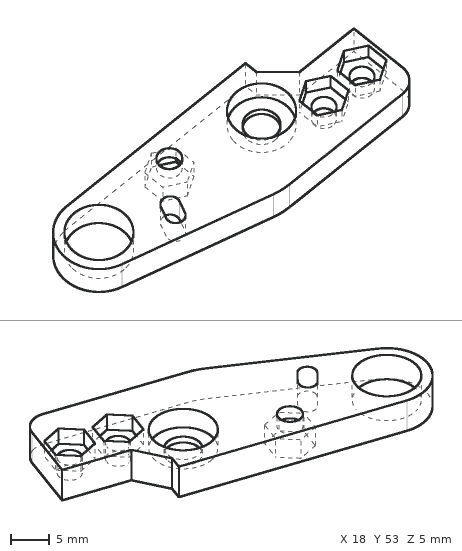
import cadquery as cq
import math

length = 53.0
width = 18.0
thickness = 5.0
end_radius = 6.0
corner_radius = 3.0
taper_angle = 15.0
taper_blend_radius = 10.0

left_x = -end_radius
right_x = left_x + width
top_y = length - end_radius

notch_width = 6.0
notch_depth = 14.0
notch_chamfer = 4.0

floor_thickness = 1.0
pocket_diameter = 9.0
stepped_pocket_center = (1.0, 29.0)
stepped_pocket_depth = 3.0
step_diameter = 5.0

nut_x = 5.0
nut_edge_distance = 3.5
nut_spacing = 7.0
nut_across_corners = 6.6
nut_depth = 2.5
screw_diameter = 3.3
side_hole_center = (-2.0, 15.0)
side_hole_diameter = 3.4
side_nut_depth = 3.0

slot_distance = 10.35
slot_direction = 66.0
slot_width = 2.6
slot_length = 4.5


def make_plate():
    """Rounded, tapered plate with a notched corner."""
    taper = math.radians(taper_angle)
    tangent = (end_radius * math.cos(taper), -end_radius * math.sin(taper))
    bend_y = (right_x * math.cos(taper) - end_radius) / math.sin(taper)
    notch_x = left_x + notch_width
    notch_y = top_y - notch_depth
    plate = (
        cq.Workplane("XY")
        .moveTo(left_x, 0)
        .threePointArc((0, -end_radius), tangent)
        .lineTo(right_x, bend_y)
        .lineTo(right_x, top_y)
        .lineTo(notch_x, top_y)
        .lineTo(notch_x, notch_y + notch_chamfer)
        .lineTo(notch_x - notch_chamfer, notch_y)
        .lineTo(left_x, notch_y)
        .close()
        .extrude(thickness)
    )
    bend_point = (right_x, bend_y, thickness / 2)
    corner_point = (right_x, top_y, thickness / 2)
    plate = plate.edges(cq.NearestToPointSelector(bend_point)).fillet(taper_blend_radius)
    return plate.edges(cq.NearestToPointSelector(corner_point)).fillet(corner_radius)


def round_cutter(center, diameter, bottom_z):
    """Cylinder from bottom_z up to the top face."""
    height = thickness - bottom_z
    return cq.Workplane("XY", origin=(*center, bottom_z)).circle(diameter / 2).extrude(height)


def nut_cutter(center, hole_diameter, recess_bottom_z, recess_depth):
    """Through screw hole with a hexagonal recess starting at recess_bottom_z."""
    hexagon = (
        cq.Workplane("XY", origin=(*center, recess_bottom_z))
        .polygon(6, nut_across_corners)
        .extrude(recess_depth)
    )
    return hexagon.union(round_cutter(center, hole_diameter, 0))


def slot_cutter():
    """Blind straight slot with round ends."""
    direction = math.radians(slot_direction)
    center = (slot_distance * math.cos(direction), slot_distance * math.sin(direction))
    return (
        cq.Workplane("XY", origin=(*center, floor_thickness))
        .slot2D(slot_length, slot_width, slot_direction - 90)
        .extrude(thickness - floor_thickness)
    )


result = make_plate()
result = result.cut(round_cutter((0, 0), pocket_diameter, floor_thickness))
result = result.cut(round_cutter(stepped_pocket_center, pocket_diameter, thickness - stepped_pocket_depth))
result = result.cut(round_cutter(stepped_pocket_center, step_diameter, floor_thickness))
result = result.cut(nut_cutter(side_hole_center, side_hole_diameter, 0, side_nut_depth))
for index in range(2):
    nut_y = top_y - nut_edge_distance - index * nut_spacing
    result = result.cut(nut_cutter((nut_x, nut_y), screw_diameter, thickness - nut_depth, nut_depth))
result = result.cut(slot_cutter())